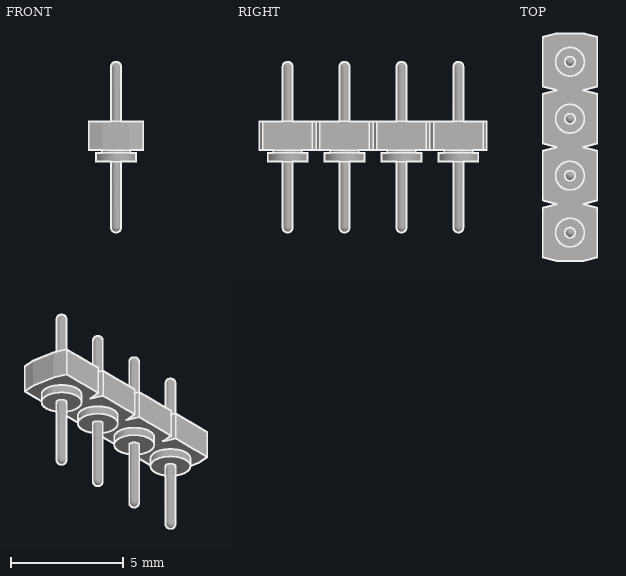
import cadquery as cq

pin_count = 4
pitch = 2.54
row_length = pin_count * pitch

housing_width = 2.44
housing_height = 1.28
waist_width = 1.2
corner_setback = 0.16

pin_length = 7.62
pin_diameter = 0.46
pin_radius = pin_diameter / 2
pin_top = 3.94
pin_bottom = pin_top - pin_length
collar_radius = 0.64
collar_recess = 0.05
flange_radius = 0.89
flange_thickness = 0.39
flange_gap = 0.12

flange_top = -flange_gap
flange_bottom = flange_top - flange_thickness
collar_top = housing_height - collar_recess

pin_positions = [(i - (pin_count - 1) / 2) * pitch for i in range(pin_count)]


def side_outline(side):
    """Outline points along one long side: side = 1 runs up +X, -1 runs down -X."""
    edge_x = side * housing_width / 2
    waist_x = side * waist_width / 2
    half_pitch = pitch / 2
    edge_half_length = half_pitch - corner_setback
    points = [(waist_x, -side * row_length / 2)]
    for y in pin_positions:
        center_y = side * y
        points.append((edge_x, center_y - side * edge_half_length))
        points.append((edge_x, center_y + side * edge_half_length))
        points.append((waist_x, center_y + side * half_pitch))
    return points


def make_housing():
    """Notched bar with one collar bore through it at each pin."""
    bar = cq.Workplane("XY").polyline(side_outline(1) + side_outline(-1)).close().extrude(housing_height)
    bores = (
        cq.Workplane("XY")
        .pushPoints([(0, y) for y in pin_positions])
        .circle(collar_radius)
        .extrude(housing_height)
    )
    return bar.cut(bores)


def make_pin(y):
    """Turned pin with round tips, a collar and a flange."""
    tip_offset = pin_radius * 0.5 ** 0.5
    upper_dome = pin_top - pin_radius
    lower_dome = pin_bottom + pin_radius
    profile = (
        cq.Workplane("XZ")
        .moveTo(0, pin_bottom)
        .threePointArc((tip_offset, lower_dome - tip_offset), (pin_radius, lower_dome))
        .lineTo(pin_radius, flange_bottom)
        .lineTo(flange_radius, flange_bottom)
        .lineTo(flange_radius, flange_top)
        .lineTo(collar_radius, flange_top)
        .lineTo(collar_radius, collar_top)
        .lineTo(pin_radius, collar_top)
        .lineTo(pin_radius, upper_dome)
        .threePointArc((tip_offset, upper_dome + tip_offset), (0, pin_top))
        .close()
    )
    return profile.revolve(360, (0, 0), (0, 1)).translate((0, y, 0))


housing = make_housing()
pins = [make_pin(y) for y in pin_positions]

result = cq.Compound.makeCompound([housing.val(), *[pin.val() for pin in pins]])